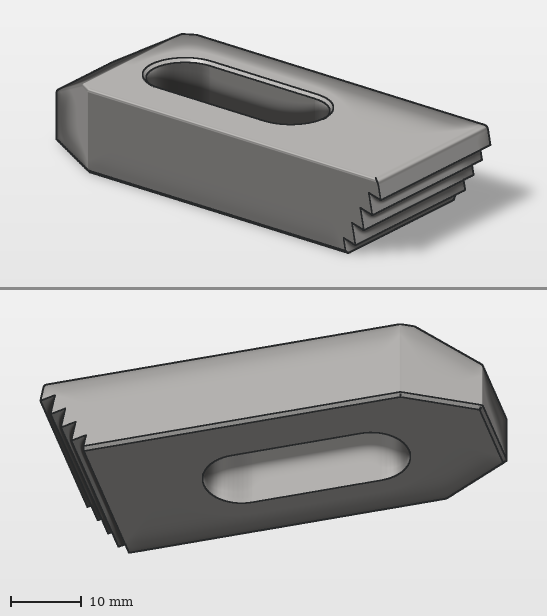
import cadquery as cq
import math

length = 63.0
width = 25.0
height = 13.0
edge_break = 0.5
heel_radius = 1.0

taper_angle = math.radians(30)
nose_drop = 5.05
nose_side_inset = 6.0
top_taper_run = nose_drop / math.tan(taper_angle)
side_taper_run = nose_side_inset / math.tan(taper_angle)

tooth_count = 4
tooth_pitch_x = 1.5
tooth_pitch_z = 2.7
tooth_depth = 2.15
shelf_drop = 0.55
first_tip_drop = 3.0
flank_slope = (tooth_depth - tooth_pitch_x) / (tooth_pitch_z + shelf_drop)

slot_length = 30.0
slot_width = 11.0
slot_center_x = 27.5


def tapered_blank():
    """Square-heeled block with three nose tapers, rounded above and chamfered along the underside."""
    half_width = width / 2
    nose_half_width = half_width - nose_side_inset
    plan_points = [
        (0, -nose_half_width),
        (side_taper_run, -half_width),
        (length, -half_width),
        (length, half_width),
        (side_taper_run, half_width),
        (0, nose_half_width),
    ]
    side_points = [
        (0, 0),
        (0, height - nose_drop),
        (top_taper_run, height),
        (length, height),
        (length, 0),
    ]
    plan = cq.Workplane("XY").polyline(plan_points).close().extrude(height)
    side = cq.Workplane("XZ").polyline(side_points).close().extrude(half_width, both=True)
    blank = plan.intersect(side)
    rounded = blank.edges("not(>X or <Z)").fillet(edge_break)
    return rounded.faces("<Z").edges("not(>X)").chamfer(edge_break)


def heel_envelope():
    """Full-width block whose heel has the saw teeth and the rounded top corner."""
    first_tip_z = height - first_tip_drop
    points = [
        (0, 0),
        (0, height),
        (length - flank_slope * first_tip_drop, height),
    ]
    for tooth in range(tooth_count):
        tip_x = length - tooth * tooth_pitch_x
        tip_z = first_tip_z - tooth * tooth_pitch_z
        root_x = tip_x - tooth_depth
        root_z = tip_z + shelf_drop
        points.append((tip_x, tip_z))
        points.append((root_x, root_z))
    points.append((root_x + flank_slope * root_z, 0))
    envelope = cq.Workplane("XZ").polyline(points).close().extrude(width / 2, both=True)
    return envelope.faces(">Z").edges(">X").fillet(heel_radius)


def slot_cutter():
    """Round-ended through slot, flared at the top to chamfer its rim."""
    slot = (
        cq.Workplane("XY")
        .center(slot_center_x, 0)
        .slot2D(slot_length, slot_width)
        .extrude(height)
    )
    rim = (
        cq.Workplane("XY", origin=(slot_center_x, 0, height))
        .slot2D(slot_length + 2 * edge_break, slot_width + 2 * edge_break)
        .extrude(-edge_break, taper=45)
    )
    return slot.union(rim)


result = tapered_blank().intersect(heel_envelope()).cut(slot_cutter())